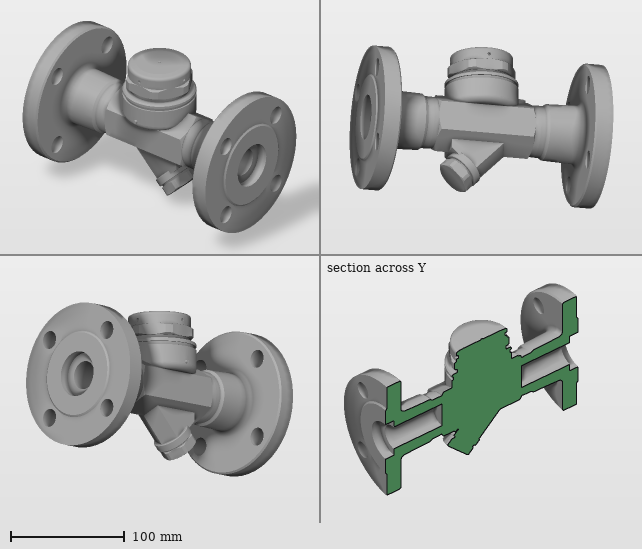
import cadquery as cq
import math

overall_height = 130.5
arc_middle = math.sqrt(0.5)

face_x = 105.0
raised_face_height = 1.3
raised_face_top_r = 36.8
raised_face_base_r = 38.5
flange_r = 127.0 / 2
flange_back_x = 87.8
flange_chamfer = 1.5
hub_fillet = 4.2
hub_large_r = 25.8
hub_small_r = 25.0
hub_small_x = 56.5
collar_r = 46.0 / 2
collar_outer_x = 53.8
collar_inner_x = 48.5
collar_root_r = 22.0
socket_r = 40.0 / 2
socket_depth = 9.0
bore_r = 25.0 / 2
bolt_hole_d = 16.0
bolt_offset = 34.9

body_half_length = 43.7
body_across_flats = 45.4
body_corner_r = body_across_flats / math.sqrt(3)
body_chamfer = 1.9
body_end_r = 22.9

cup_r = 65.0 / 2
cup_bottom_z = 13.6
cup_fillet = 5.5
groove_r = 62.0 / 2
groove_bottom_z = 34.9
groove_top_z = 37.8
cup_top_z = 41.2
cup_top_chamfer = 1.3
neck_r = 54.0 / 2
nut_bottom_z = 44.5
nut_top_z = 54.5
nut_across_flats = 55.5
nut_corner_r = 30.2
cap_r = 28.0
cap_edge_z = 65.7
cap_fillet = 3.0
cap_top_z = 66.2
cap_top_r = 20.4
cap_pin_r = 1.0
cap_pin_top_z = overall_height - flange_r
cap_hole_d = 3.0
cap_hole_depth = 2.5
cap_hole_z = 58.8
cup_pin_r = 3.0 / 2
cup_pin_reach = 34.6
cup_pin_z = 20.8

pad_r = 5.5
pad_x = -34.5
pad_top_z = 27.0

branch_angle = 45
branch_axis_offset = 17.0
branch_corner_r = 15.8
branch_end = 40.0
branch_right_x = 30.0
seat_r = 17.2
seat_depth = 3.2
plug_flange_r = 34.0 / 2
plug_flange_end = 43.9
plug_flange_chamfer = 0.5
plug_neck_r = 14.7
plug_hex_start = 45.4
plug_end = 54.4
plug_across_flats = 29.8
plug_corner_r = 16.4

hex_chamfer_angle = 30


def hex_across_corners(across_flats):
    return across_flats * 2 / math.sqrt(3)


def chamfered_nut(across_flats, corner_r, height):
    """Hexagon with two flats on +Y and -Y, corners turned down and chamfered."""
    prism = cq.Workplane("XY").polygon(6, hex_across_corners(across_flats)).extrude(height)
    flat_r = across_flats / 2
    drop = (corner_r - flat_r) * math.tan(math.radians(hex_chamfer_angle))
    turned = (
        cq.Workplane("XZ")
        .moveTo(0, 0)
        .lineTo(flat_r, 0)
        .lineTo(corner_r, drop)
        .lineTo(corner_r, height - drop)
        .lineTo(flat_r, height)
        .lineTo(0, height)
        .close()
        .revolve(360, (0, 0, 0), (0, 1, 0))
    )
    return prism.intersect(turned)


def pipe_end():
    """Flange, tapered hub and collar on the -X side."""
    flange_face_x = face_x - raised_face_height
    fillet_end_x = flange_back_x - hub_fillet
    fillet_centre_r = hub_large_r + hub_fillet
    bend = hub_fillet * arc_middle
    root_x = body_half_length - body_chamfer
    profile = (
        cq.Workplane("XY")
        .moveTo(-face_x, 0)
        .lineTo(-face_x, raised_face_top_r)
        .lineTo(-flange_face_x, raised_face_base_r)
        .lineTo(-flange_face_x, flange_r)
        .lineTo(-flange_back_x - flange_chamfer, flange_r)
        .lineTo(-flange_back_x, flange_r - flange_chamfer)
        .lineTo(-flange_back_x, fillet_centre_r)
        .threePointArc((-fillet_end_x - bend, fillet_centre_r - bend), (-fillet_end_x, hub_large_r))
        .lineTo(-hub_small_x, hub_small_r)
        .lineTo(-collar_outer_x, collar_r)
        .lineTo(-collar_inner_x, collar_r)
        .tangentArcPoint((-root_x, collar_root_r), relative=False)
        .lineTo(-root_x, 0)
        .close()
    )
    end = profile.revolve(360, (0, 0, 0), (1, 0, 0))
    face = cq.Workplane("YZ", origin=(-face_x, 0, 0))
    bolt_holes = (
        face.rect(2 * bolt_offset, 2 * bolt_offset, forConstruction=True)
        .vertices()
        .circle(bolt_hole_d / 2)
        .extrude(face_x - flange_back_x)
    )
    socket = face.circle(socket_r).extrude(socket_depth)
    bore = face.circle(bore_r).extrude(face_x - body_half_length)
    return end.cut(bolt_holes).cut(socket).cut(bore)


def body():
    """Hexagonal bar with its ends turned to a cone."""
    corners = [
        (body_corner_r * math.sin(math.radians(60 * i)), body_corner_r * math.cos(math.radians(60 * i)))
        for i in range(6)
    ]
    bar = cq.Workplane("YZ").polyline(corners).close().extrude(body_half_length, both=True)
    shoulder_x = body_half_length - body_chamfer
    turned = (
        cq.Workplane("XY")
        .moveTo(-body_half_length, 0)
        .lineTo(-body_half_length, body_end_r)
        .lineTo(-shoulder_x, body_corner_r)
        .lineTo(shoulder_x, body_corner_r)
        .lineTo(body_half_length, body_end_r)
        .lineTo(body_half_length, 0)
        .close()
        .revolve(360, (0, 0, 0), (1, 0, 0))
    )
    return bar.intersect(turned)


def bonnet():
    """Cup, neck, nut and cap stacked on the Z axis."""
    cup_bend = cup_fillet * arc_middle
    cap_flat_r = cap_r - cap_fillet
    cap_bend = cap_fillet * arc_middle
    turned = (
        cq.Workplane("XZ")
        .moveTo(0, cup_bottom_z)
        .lineTo(cup_r - cup_fillet, cup_bottom_z)
        .threePointArc(
            (cup_r - cup_fillet + cup_bend, cup_bottom_z + cup_fillet - cup_bend),
            (cup_r, cup_bottom_z + cup_fillet),
        )
        .lineTo(cup_r, groove_bottom_z)
        .lineTo(groove_r, groove_bottom_z)
        .lineTo(groove_r, groove_top_z)
        .lineTo(cup_r, groove_top_z)
        .lineTo(cup_r, cup_top_z - cup_top_chamfer)
        .lineTo(cup_r - cup_top_chamfer, cup_top_z)
        .lineTo(neck_r, cup_top_z)
        .lineTo(neck_r, nut_top_z)
        .lineTo(cap_r, nut_top_z)
        .lineTo(cap_r, cap_edge_z - cap_fillet)
        .threePointArc(
            (cap_flat_r + cap_bend, cap_edge_z - cap_fillet + cap_bend),
            (cap_flat_r, cap_edge_z),
        )
        .lineTo(cap_top_r, cap_top_z)
        .lineTo(cap_pin_r, cap_top_z)
        .lineTo(cap_pin_r, cap_pin_top_z)
        .lineTo(0, cap_pin_top_z)
        .close()
        .revolve(360, (0, 0, 0), (0, 1, 0))
    )
    nut = chamfered_nut(nut_across_flats, nut_corner_r, nut_top_z - nut_bottom_z)
    cup_pin = cq.Workplane("XZ", origin=(0, 0, cup_pin_z)).circle(cup_pin_r).extrude(cup_pin_reach)
    stack = turned.union(nut.translate((0, 0, nut_bottom_z))).union(cup_pin)
    for quarter in range(4):
        hole = (
            cq.Workplane("XZ", origin=(0, -cap_r + cap_hole_depth, cap_hole_z))
            .circle(cap_hole_d / 2)
            .extrude(2 * cap_hole_depth)
        )
        stack = stack.cut(hole.rotate((0, 0, 0), (0, 0, 1), 90 * quarter))
    return stack


def pad():
    """Round-ended pad on the body ridge, running into the cup."""
    round_end = cq.Workplane("XY").center(pad_x, 0).circle(pad_r).extrude(pad_top_z)
    run = cq.Workplane("XY").center(pad_x / 2, 0).rect(-pad_x, 2 * pad_r).extrude(pad_top_z)
    return round_end.union(run)


def place_on_branch(shape):
    """Turn a shape built along +Z with its flats on +Y and -Y onto the branch axis."""
    tilt = math.radians(branch_angle)
    shift_x = -branch_axis_offset * math.sin(tilt)
    shift_z = -branch_axis_offset * math.cos(tilt)
    turned = shape.rotate((0, 0, 0), (0, 1, 0), 90 + branch_angle)
    return turned.translate((shift_x, 0, shift_z))


def branch():
    """Branch block: hexagonal underside, flat cheeks, upright end and a plug seat."""
    flat = branch_corner_r * math.sqrt(3) / 2
    upper_reach = 2 * branch_end
    section = [
        (branch_corner_r, 0),
        (branch_corner_r / 2, flat),
        (-upper_reach, flat),
        (-upper_reach, -flat),
        (branch_corner_r / 2, -flat),
    ]
    block = place_on_branch(cq.Workplane("XY").polyline(section).close().extrude(branch_end))
    seat = cq.Workplane("XY", origin=(0, 0, branch_end - seat_depth)).circle(seat_r).extrude(seat_depth)
    span = 2 * branch_end
    keep = cq.Workplane("XY").box(span, span, span, centered=(False, True, False))
    keep = keep.translate((branch_right_x - span, 0, -span))
    return block.cut(place_on_branch(seat)).intersect(keep)


def plug():
    """Screw plug closing the branch: flange, short neck and hexagon head."""
    seat_floor = branch_end - seat_depth
    flange = cq.Workplane("XY", origin=(0, 0, seat_floor)).circle(plug_flange_r)
    flange = flange.extrude(plug_flange_end - seat_floor).edges().chamfer(plug_flange_chamfer)
    neck = cq.Workplane("XY", origin=(0, 0, seat_floor)).circle(plug_neck_r)
    neck = neck.extrude(plug_hex_start - seat_floor)
    head = chamfered_nut(plug_across_flats, plug_corner_r, plug_end - plug_hex_start)
    return place_on_branch(flange.union(neck).union(head.translate((0, 0, plug_hex_start))))


inlet = pipe_end()
outlet = inlet.mirror("YZ")
result = body().union(inlet).union(outlet).union(pad()).union(bonnet()).union(branch()).union(plug())